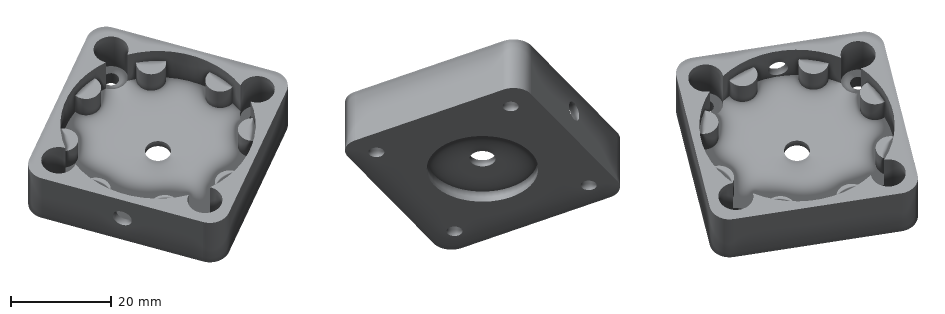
import cadquery as cq

side = 42.3
height = 12.0
corner_radius = 4.0

chamber_diameter = 39.0
floor_top = 4.0
shaft_hole_diameter = 5.2

recess_diameter = 22.3
recess_depth = 2.5

screw_spacing = 31.0
screw_hole_diameter = 3.2
counterbore_diameter = 7.0
counterbore_floor = 3.0

port_diameter = 4.0
port_height = 6.5

post_count = 8
post_diameter = 6.0
post_height = 5.0
post_circle_radius = 19.0
post_start_angle = 23.8


def cylinder(diameter, bottom, top, x=0, y=0):
    """Upright cylinder between two heights."""
    return cq.Workplane("XY", origin=(x, y, bottom)).circle(diameter / 2).extrude(top - bottom)


def make_housing():
    body = cq.Workplane("XY").rect(side, side).extrude(height).edges("|Z").fillet(corner_radius)

    body = body.cut(cylinder(chamber_diameter, floor_top, height))
    body = body.cut(cylinder(shaft_hole_diameter, 0, height))
    body = body.cut(cylinder(recess_diameter, 0, recess_depth))

    for x_sign in (-1, 1):
        for y_sign in (-1, 1):
            x = x_sign * screw_spacing / 2
            y = y_sign * screw_spacing / 2
            body = body.cut(cylinder(screw_hole_diameter, 0, height, x, y))
            body = body.cut(cylinder(counterbore_diameter, counterbore_floor, height, x, y))

    port = (
        cq.Workplane("XZ", origin=(0, -side / 2, port_height))
        .circle(port_diameter / 2)
        .extrude(-side / 2)
    )
    return body.cut(port)


def make_post(angle):
    """Round post, whose back sits in a matching pocket of the chamber wall."""
    post = cylinder(post_diameter, floor_top, floor_top + post_height, x=post_circle_radius)
    return post.rotate((0, 0, 0), (0, 0, 1), angle)


posts = [make_post(post_start_angle + i * 360 / post_count) for i in range(post_count)]

housing = make_housing()
for post in posts:
    housing = housing.cut(post)

result = cq.Compound.makeCompound([housing.val(), *[post.val() for post in posts]])